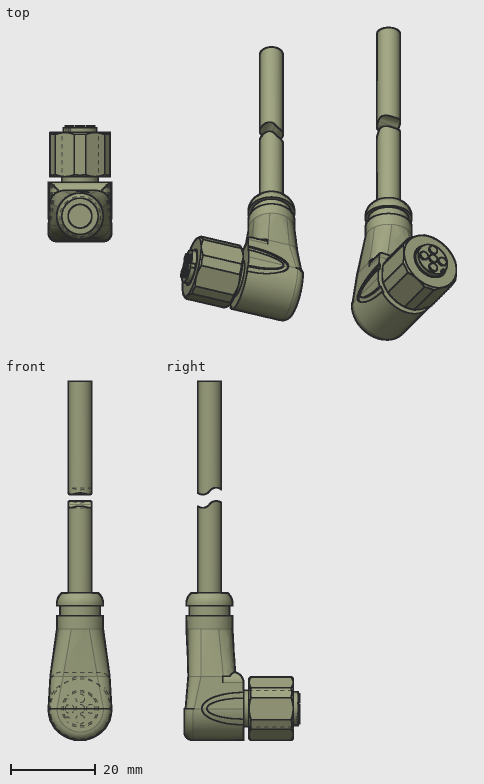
import cadquery as cq
import math


cable_radius = 2.8
cable_top = 77.5
break_height = 49.9
break_gap = 3.1
wave_height = 0.8

housing_radius = 7.5
housing_back = -6.0
housing_front = 8.1
back_fillet = 2.0

waist_height = 7.7
waist_half_width = 7.05
waist_back = -5.05
waist_front = 6.2
waist_corner = 3.0
base_back = -5.7
base_corner = 2.0

shoulder_start = waist_front - waist_corner
shoulder_top = 8.7
side_slope = (housing_radius - waist_half_width) / waist_height
shoulder_half_width = housing_radius - side_slope * shoulder_top
shoulder_fillet = 2.6

sleeve_radius = 5.5
sleeve_base = 18.95
groove_radius = 4.8
groove_bottom = 22.0
groove_top = 24.3
collar_top = 27.4
collar_top_radius = 4.3
collar_bulge_radius = 5.2
collar_bulge_height = 26.3

channel_depth = 0.35
channel_length = 9.9
channel_half_height = 3.85
pad_length = 8.7
pad_half_height = 2.5

neck_radius = 4.35
stub_radius = 4.0
stub_end = 21.0
key_angle = 220.0
key_width = 1.0
key_depth = 0.6
contact_circle = 2.5
contact_radius = 1.05
contact_end = 21.4

nut_start = 9.35
nut_end = 19.85
nut_across_flats = 14.3
nut_across_corners = 15.0
nut_chamfer = 0.5


def cylinder_along_y(radius, start, end, x=0.0, z=0.0):
    return cq.Workplane("XZ", origin=(x, start, z)).circle(radius).extrude(start - end)


def broken_end_cutter(height, top):
    """Block from an S-shaped lower face at the given height up to top."""
    quarter = cable_radius / 2
    reach = cable_radius
    return (
        cq.Workplane("YZ")
        .moveTo(-reach, height - wave_height / 2)
        .threePointArc((-quarter, height - wave_height), (0, height))
        .threePointArc((quarter, height + wave_height), (reach, height + wave_height / 2))
        .lineTo(reach, top)
        .lineTo(-reach, top)
        .close()
        .extrude(reach, both=True)
    )


def make_far_cable():
    cable = cq.Workplane("XY").circle(cable_radius).extrude(cable_top)
    return cable.intersect(broken_end_cutter(break_height + break_gap / 2, cable_top))


def make_near_cable():
    base = cq.Workplane("XY").workplane(offset=collar_top)
    cable = base.circle(cable_radius).extrude(break_height - collar_top)
    return cable.cut(broken_end_cutter(break_height - break_gap / 2, cable_top))


def rounded_section(height, half_width, back, front, corner):
    """Closed rounded rectangle at the given height, starting on its back flat."""
    bend = corner * (1 - math.sqrt(0.5))
    x = half_width
    xi = half_width - corner
    outline = (
        cq.Workplane("XY", origin=(0, 0, height))
        .moveTo(-xi, back)
        .lineTo(xi, back)
        .threePointArc((x - bend, back + bend), (x, back + corner))
        .lineTo(x, front - corner)
        .threePointArc((x - bend, front - bend), (xi, front))
        .lineTo(-xi, front)
        .threePointArc((-x + bend, front - bend), (-x, front - corner))
        .lineTo(-x, back + corner)
        .threePointArc((-x + bend, back + bend), (-xi, back))
        .close()
    )
    return outline.val()


def round_section(height, radius):
    """Circle in eight arcs, matching the edges of a rounded rectangle."""
    def point(degrees):
        angle = math.radians(degrees)
        return (radius * math.cos(angle), radius * math.sin(angle))

    eighth = 45.0
    start = 270.0 - eighth / 2
    outline = cq.Workplane("XY", origin=(0, 0, height)).moveTo(*point(start))
    for step in range(8):
        angle = start + step * eighth
        outline = outline.threePointArc(point(angle + eighth / 2), point(angle + eighth))
    return outline.close().val()


def u_section(height, half_width, back, front, corner):
    """Section with rounded back corners and a square front."""
    bend = corner * (1 - math.sqrt(0.5))
    x = half_width
    xi = half_width - corner
    outline = (
        cq.Workplane("XY", origin=(0, 0, height))
        .moveTo(-xi, back)
        .lineTo(xi, back)
        .threePointArc((x - bend, back + bend), (x, back + corner))
        .lineTo(x, front)
        .lineTo(-x, front)
        .lineTo(-x, back + corner)
        .threePointArc((-x + bend, back + bend), (-xi, back))
        .close()
    )
    return outline.val()


def loft(lower, upper):
    return cq.Workplane("XY").newObject([cq.Solid.makeLoft([lower, upper], True)])


def make_sleeve():
    """Taper from the block to a round sleeve, with a groove under the domed collar."""
    taper = loft(
        rounded_section(waist_height, waist_half_width, waist_back, waist_front, waist_corner),
        round_section(sleeve_base, sleeve_radius),
    )
    sleeve = cq.Workplane("XY", origin=(0, 0, sleeve_base))
    sleeve = sleeve.circle(sleeve_radius).extrude(groove_bottom - sleeve_base)
    groove = cq.Workplane("XY", origin=(0, 0, groove_bottom))
    groove = groove.circle(groove_radius).extrude(groove_top - groove_bottom)
    collar = (
        cq.Workplane("XZ")
        .moveTo(0, groove_top)
        .lineTo(sleeve_radius, groove_top)
        .threePointArc((collar_bulge_radius, collar_bulge_height), (collar_top_radius, collar_top))
        .lineTo(0, collar_top)
        .close()
        .revolve()
    )
    return taper.union(sleeve).union(groove).union(collar)


def make_bottom():
    """Half-round underside of the housing."""
    bottom = cylinder_along_y(housing_radius, housing_back, housing_front)
    bottom = bottom.faces("<Y").edges().fillet(back_fillet)
    upper_half = cq.Workplane("XY").rect(2 * housing_radius, 4 * housing_radius).extrude(housing_radius)
    return bottom.cut(upper_half)


def make_shoulder():
    """Front of the block, rising over the carrier with rounded top edges."""
    shoulder = (
        cq.Workplane("XZ", origin=(0, housing_front, 0))
        .moveTo(-housing_radius, 0)
        .lineTo(housing_radius, 0)
        .lineTo(shoulder_half_width, shoulder_top)
        .lineTo(-shoulder_half_width, shoulder_top)
        .close()
        .extrude(housing_front - shoulder_start)
    )
    return shoulder.faces(">Z").edges("|Y or >Y").fillet(shoulder_fillet)


def make_block():
    rear = loft(
        u_section(0, housing_radius, base_back, shoulder_start, base_corner),
        u_section(waist_height, waist_half_width, waist_back, shoulder_start, waist_corner),
    )
    return rear.union(make_shoulder()).union(make_bottom()).clean()


def label_oval(length, half_height):
    """Oval prism through the housing, centred on its front face so that half of it cuts in."""
    return (
        cq.Workplane("YZ", origin=(0, housing_front, 0))
        .ellipse(length, half_height)
        .extrude(2 * housing_radius, both=True)
    )


def make_label_channels():
    """Cutter for the shallow oval channels around the pads on both sides."""
    floor_radius = housing_radius - channel_depth
    floor_waist = waist_half_width - channel_depth
    floor = (
        cq.Workplane("XZ", origin=(0, housing_front + channel_length, 0))
        .moveTo(-floor_radius, 0)
        .threePointArc((0, -floor_radius), (floor_radius, 0))
        .lineTo(floor_waist, waist_height)
        .lineTo(-floor_waist, waist_height)
        .close()
        .extrude(2 * channel_length)
    )
    ring = label_oval(channel_length, channel_half_height).cut(label_oval(pad_length, pad_half_height))
    return ring.cut(floor)


def make_carrier():
    carrier = cylinder_along_y(neck_radius, housing_front, nut_end)
    stub = cylinder_along_y(stub_radius, nut_end, stub_end)
    key = cq.Workplane("XY").box(2 * key_depth, stub_end - nut_end, key_width)
    key = key.translate((stub_radius, (nut_end + stub_end) / 2, 0))
    stub = stub.cut(key.rotate((0, 0, 0), (0, 1, 0), -key_angle))
    carrier = carrier.union(stub)
    contact_places = [(0, 0)]
    for sign in (-1, 1):
        contact_places.append((sign * contact_circle, 0))
        contact_places.append((0, sign * contact_circle))
    for x, z in contact_places:
        carrier = carrier.union(cylinder_along_y(contact_radius, stub_end, contact_end, x, z))
    return carrier


def make_housing():
    """Housing, contact carrier and near cable piece, moulded as one body."""
    shell = make_block().union(make_sleeve()).cut(make_label_channels())
    return shell.union(make_carrier()).union(make_near_cable())


def hexagon_prism(across_flats, first_flat_angle):
    """Hexagonal prism along Y over the nut's length, with one flat at the given angle from +X."""
    half_side_angle = 30
    corner_diameter = across_flats / math.cos(math.radians(half_side_angle))
    prism = cq.Workplane("XZ", origin=(0, nut_start, 0))
    prism = prism.polygon(6, corner_diameter).extrude(nut_start - nut_end)
    return prism.rotate((0, 0, 0), (0, 1, 0), first_flat_angle - half_side_angle)


def make_nut():
    nut = hexagon_prism(nut_across_flats, 0).intersect(hexagon_prism(nut_across_corners, 30))
    half_flat = nut_across_corners - nut_across_flats * math.cos(math.pi / 6)
    corner_radius = math.hypot(nut_across_flats / 2, half_flat)
    chamfered = cylinder_along_y(corner_radius, nut_start, nut_end).edges().chamfer(nut_chamfer)
    return nut.intersect(chamfered).cut(cylinder_along_y(neck_radius, nut_start, nut_end))


far_cable = make_far_cable()
housing = make_housing()
nut = make_nut()

result = cq.Compound.makeCompound([
    *far_cable.solids().vals(),
    *housing.solids().vals(),
    *nut.solids().vals(),
])